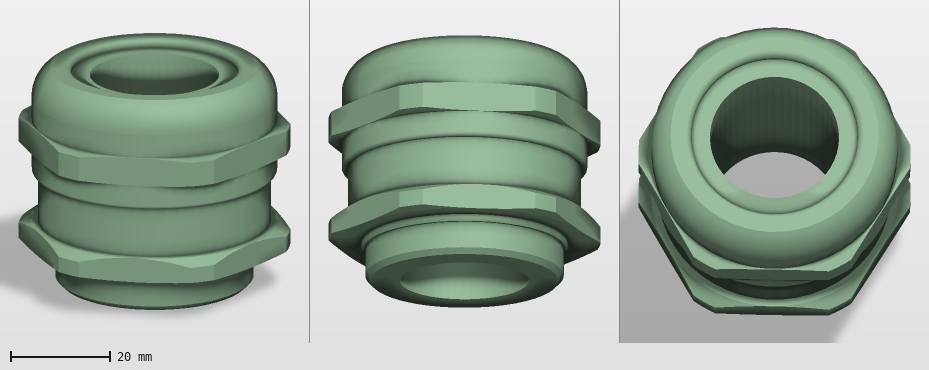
import cadquery as cq
import math

ACROSS_FLATS = 49.9
CORNER_DIAMETER = 54.85
FLAT_RADIUS = ACROSS_FLATS / 2
ACROSS_CORNERS = ACROSS_FLATS / math.cos(math.pi / 6)
CORNER_RADIUS = CORNER_DIAMETER / 2

SPIGOT_RADIUS = 40.0 / 2
RING_FOOT_RADIUS = 41.25 / 2
RING_TOP_RADIUS = 20.85
RING_BULGE_RADIUS = 20.9
BODY_RADIUS = 47.0 / 2
CAP_RADIUS = 49.55 / 2
DOME_TOP_RADIUS = 20.95

RING_FOOT = 6.5
RING_BULGE = 7.4
LOWER_HEX_BOTTOM = 7.85
LOWER_HEX_TOP = 12.95
CAP_BOTTOM = 23.25
UPPER_HEX_BOTTOM = 28.35
UPPER_HEX_TOP = 34.3
DOME_START = 39.25
TOP = 45.4

SPIGOT_CHAMFER = 1.1
CAP_ROUND = 0.7
STEEP_BEVEL_DROP = 1.4
SHALLOW_BEVEL_DROP = 0.45

BORE_RADIUS = 26.0 / 2
RECESS_RADIUS = 33.6 / 2
RECESS_DEPTH = 1.75
RECESS_ROUND = 1.25


def revolve_about_z(profile):
    """Turn an XZ-plane outline into a solid of revolution about Z."""
    return profile.close().revolve(360, (0, 0, 0), (0, 1, 0))


def dome_midpoint():
    """Radius and height halfway along the dome arc, which leaves the cap wall tangentially."""
    inset = CAP_RADIUS - DOME_TOP_RADIUS
    rise = TOP - DOME_START
    arc_radius = (inset**2 + rise**2) / (2 * inset)
    centre_radius = CAP_RADIUS - arc_radius
    across = (CAP_RADIUS + DOME_TOP_RADIUS) / 2 - centre_radius
    up = rise / 2
    stretch = arc_radius / (across**2 + up**2) ** 0.5
    return centre_radius + across * stretch, DOME_START + up * stretch


def make_turned_body():
    """Spigot with sealing ring, round body and domed cap."""
    spigot_and_ring = (
        cq.Workplane("XZ")
        .lineTo(SPIGOT_RADIUS - SPIGOT_CHAMFER, 0)
        .lineTo(SPIGOT_RADIUS, SPIGOT_CHAMFER)
        .lineTo(SPIGOT_RADIUS, RING_FOOT)
        .lineTo(RING_FOOT_RADIUS, RING_FOOT)
        .threePointArc((RING_BULGE_RADIUS, RING_BULGE), (RING_TOP_RADIUS, LOWER_HEX_BOTTOM))
    )
    profile = (
        spigot_and_ring
        .lineTo(BODY_RADIUS, LOWER_HEX_BOTTOM)
        .lineTo(BODY_RADIUS, CAP_BOTTOM)
        .lineTo(CAP_RADIUS - CAP_ROUND, CAP_BOTTOM)
        .radiusArc((CAP_RADIUS, CAP_BOTTOM + CAP_ROUND), -CAP_ROUND)
        .lineTo(CAP_RADIUS, DOME_START)
        .threePointArc(dome_midpoint(), (DOME_TOP_RADIUS, TOP))
        .lineTo(0, TOP)
    )
    return revolve_about_z(profile)


def make_hexagon(bottom, top, bottom_drop, top_drop):
    """Hexagon with flats facing +/-Y, its corners turned round and bevelled at both ends."""
    prism = (
        cq.Workplane("XY", origin=(0, 0, bottom))
        .polygon(6, ACROSS_CORNERS)
        .extrude(top - bottom)
    )
    envelope = revolve_about_z(
        cq.Workplane("XZ")
        .moveTo(0, bottom)
        .lineTo(FLAT_RADIUS, bottom)
        .lineTo(CORNER_RADIUS, bottom + bottom_drop)
        .lineTo(CORNER_RADIUS, top - top_drop)
        .lineTo(FLAT_RADIUS, top)
        .lineTo(0, top)
    )
    return prism.intersect(envelope)


def make_opening():
    """Through bore with a wider recess whose mouth is rounded outward at the top face."""
    recess_floor = TOP - RECESS_DEPTH
    return revolve_about_z(
        cq.Workplane("XZ")
        .lineTo(BORE_RADIUS, 0)
        .lineTo(BORE_RADIUS, recess_floor)
        .lineTo(RECESS_RADIUS, recess_floor)
        .lineTo(RECESS_RADIUS, TOP - RECESS_ROUND)
        .radiusArc((RECESS_RADIUS + RECESS_ROUND, TOP), RECESS_ROUND)
        .lineTo(0, TOP)
    )


lower_hexagon = make_hexagon(LOWER_HEX_BOTTOM, LOWER_HEX_TOP, SHALLOW_BEVEL_DROP, STEEP_BEVEL_DROP)
upper_hexagon = make_hexagon(UPPER_HEX_BOTTOM, UPPER_HEX_TOP, SHALLOW_BEVEL_DROP, SHALLOW_BEVEL_DROP)

result = make_turned_body().union(lower_hexagon).union(upper_hexagon).cut(make_opening())